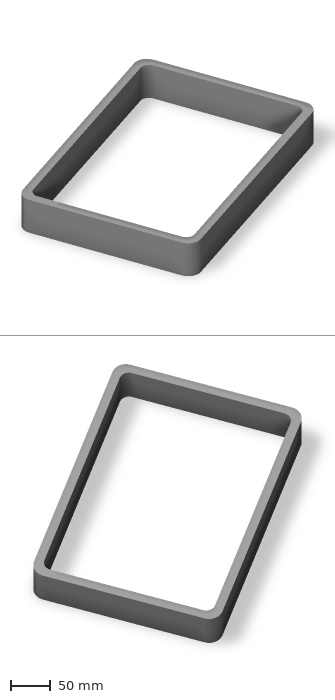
import cadquery as cq

width = 250.0
length = 350.0
height = 50.0

wall = 12.0
outer_corner_radius = 18.0
inner_corner_radius = 12.0


def rounded_block(size_x, size_y, corner_radius):
    """Block of the frame's height with rounded vertical edges."""
    block = cq.Workplane("XY").box(size_x, size_y, height)
    return block.edges("|Z").fillet(corner_radius)


outer_block = rounded_block(width, length, outer_corner_radius)
opening = rounded_block(width - 2 * wall, length - 2 * wall, inner_corner_radius)

result = outer_block.cut(opening)